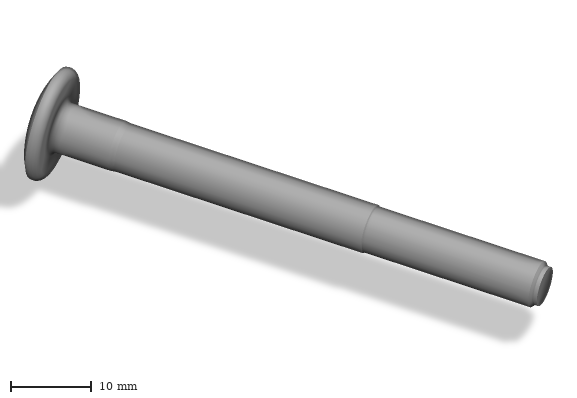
import cadquery as cq
import math

total_length = 68.1
head_height = 3.05
dome_end = 1.5
neck_end = 10.9
body_start = 11.7
body_end = 44.75
thread_end = 67.15
tip_length = 0.55

head_diameter = 14.7
head_back_diameter = 12.5
crown_flat_diameter = 4.35
neck_diameter = 6.5
body_diameter = 6.25
thread_diameter = 6.0
tip_diameter = 5.1
neck_fillet = 0.6

head_radius = head_diameter / 2
head_back_radius = head_back_diameter / 2
crown_flat_radius = crown_flat_diameter / 2
neck_radius = neck_diameter / 2
body_radius = body_diameter / 2
thread_radius = thread_diameter / 2
tip_radius = tip_diameter / 2

rim_radius = head_radius - head_back_radius
rim_center_x = head_height - rim_radius
dome_edge_radius = head_back_radius + math.sqrt(rim_radius**2 - (rim_center_x - dome_end) ** 2)

thread_start = body_end + body_radius - thread_radius

fillet_center_x = head_height + neck_fillet
fillet_center_radius = neck_radius + neck_fillet
fillet_middle = (
    fillet_center_x - neck_fillet * math.cos(math.pi / 4),
    fillet_center_radius - neck_fillet * math.sin(math.pi / 4),
)

profile = (
    cq.Workplane("XY")
    .lineTo(0, crown_flat_radius)
    .tangentArcPoint((dome_end, dome_edge_radius), relative=False)
    .threePointArc((rim_center_x, head_radius), (head_height, head_back_radius))
    .lineTo(head_height, fillet_center_radius)
    .threePointArc(fillet_middle, (fillet_center_x, neck_radius))
    .lineTo(neck_end, neck_radius)
    .lineTo(body_start, body_radius)
    .lineTo(body_end, body_radius)
    .lineTo(thread_start, thread_radius)
    .lineTo(thread_end, thread_radius)
    .lineTo(total_length - tip_length, tip_radius)
    .lineTo(total_length, tip_radius)
    .lineTo(total_length, 0)
    .close()
)

result = profile.revolve(360, (0, 0, 0), (1, 0, 0))